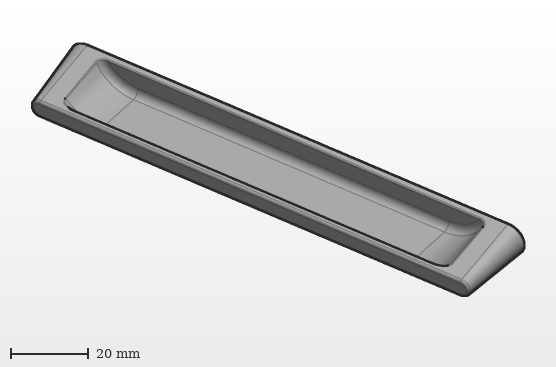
import cadquery as cq
import math

length = 138.0
depth = 23.0
back_height = 10.0
front_height = 5.2
front_fillet = 0.8

recess_length = 117.8
wall_margin = 2.1
floor_length = 94.7
floor_thickness = 2.0
floor_fillet = 2.1
rim_fillet = 0.4
cutter_overshoot = 2.8

half_depth = depth / 2
wall_y = half_depth - wall_margin
taper_slope = (back_height - front_height) / 2 / depth


def half_height(y):
    """Half of the body height at a given Y."""
    return back_height / 2 - taper_slope * (half_depth - y)


def make_body():
    """Tapered slot extruded from the back face towards -Y, with a rounded front rim."""
    body = (
        cq.Workplane("XZ", origin=(0, half_depth, 0))
        .slot2D(length, back_height)
        .extrude(depth, taper=math.degrees(math.atan(taper_slope)))
    )
    return body.faces("<Y").edges().fillet(front_fillet)


def recess_section(y):
    """Recess section at a given Y: flat floor and ends that sweep up in arcs to the rim."""
    floor_z = floor_thickness - half_height(y)
    rim_z = half_height(y)
    floor_x = floor_length / 2
    rim_x = recess_length / 2
    run = rim_x - floor_x
    rise = rim_z - floor_z

    chord_angle = math.atan2(rise, run)
    sweep_angle = 2 * chord_angle
    radius = run / math.sin(sweep_angle)
    mid_x = floor_x + radius * math.sin(chord_angle)
    mid_z = floor_z + radius * (1 - math.cos(chord_angle))

    top_x = rim_x + cutter_overshoot / math.tan(sweep_angle)
    top_z = rim_z + cutter_overshoot

    section = (
        cq.Workplane("XZ", origin=(0, y, 0))
        .moveTo(-floor_x, floor_z)
        .lineTo(floor_x, floor_z)
        .threePointArc((mid_x, mid_z), (rim_x, rim_z))
        .lineTo(top_x, top_z)
        .lineTo(-top_x, top_z)
        .lineTo(-rim_x, rim_z)
        .threePointArc((-mid_x, mid_z), (-floor_x, floor_z))
        .close()
    )
    return section.val()


def make_recess():
    """Recess cutter whose floor follows the lower face, with rounded floor corners."""
    sections = [recess_section(wall_y), recess_section(-wall_y)]
    cutter = cq.Workplane(cq.Solid.makeLoft(sections, True))

    below_rim = cq.selectors.BoxSelector(
        (-length, -depth, -back_height), (length, depth, half_height(-wall_y))
    )
    floor_edges = cutter.faces("<Y or >Y").edges("|X").edges(below_rim)
    return floor_edges.fillet(floor_fillet)


def round_rim(part):
    """Round the rim where the recess opens into the upper face."""
    planes = part.faces("%PLANE").vals()
    upper_face = next(face for face in planes if face.innerWires())
    rim = upper_face.innerWires()[0]
    return part.newObject(rim.Edges()).fillet(rim_fillet)


result = round_rim(make_body().cut(make_recess()))